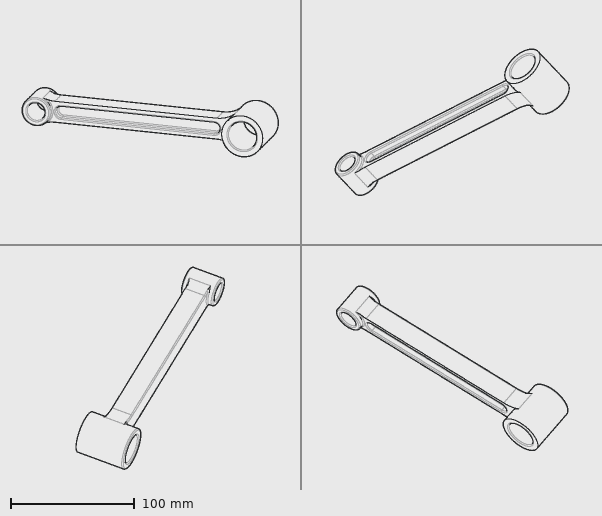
import cadquery as cq
import math

CENTRE_DISTANCE = 178.0

SMALL_DIAMETER = 24.0
SMALL_BORE = 15.0
SMALL_LENGTH = 28.0

BIG_DIAMETER = 35.0
BIG_BORE = 24.0
BIG_LENGTH = 42.0

BAR_HEIGHT = 18.0
BAR_THICKNESS = 18.0
NECK_RADIUS = 25.0

POCKET_WIDTH = 10.0
POCKET_DEPTH = 6.0
POCKET_TO_SMALL_CENTRE = 15.0
POCKET_TO_BIG_CENTRE = 23.0

EDGE_FILLET = 1.0
BORE_FILLET = 1.0

SMALL_RADIUS = SMALL_DIAMETER / 2
BIG_RADIUS = BIG_DIAMETER / 2
FRONT_Y = -BAR_THICKNESS / 2
BACK_Y = BAR_THICKNESS / 2
ARC_MIDDLE = 1 - math.sqrt(0.5)
SELECT_MARGIN = 0.01


def front_plane(y):
    """Workplane at the given Y, with local x = X, local y = Z and normal -Y."""
    return cq.Workplane("XZ", origin=(0, y, 0))


def edges_at_y(y, x_min, x_max):
    """Selector for edges that lie in the plane Y = y, between two X limits."""
    return cq.selectors.BoxSelector(
        (x_min - SELECT_MARGIN, y - SELECT_MARGIN, -BIG_DIAMETER),
        (x_max + SELECT_MARGIN, y + SELECT_MARGIN, BIG_DIAMETER),
        boundingbox=True,
    )


def eye(centre_x, diameter, length, rounded_ends):
    """Solid cylinder along Y, centred on Y = 0, with the selected end rims rounded."""
    cylinder = front_plane(length / 2).center(centre_x, 0).circle(diameter / 2).extrude(length)
    return cylinder.faces(rounded_ends).edges().fillet(EDGE_FILLET)


def bore_cutter(centre_x, diameter, length):
    """Through bore along Y that widens in a rounded lip at each mouth."""
    radius = diameter / 2
    lip_radius = radius + BORE_FILLET
    end_y = length / 2
    straight_y = end_y - BORE_FILLET
    middle_radius = radius + BORE_FILLET * ARC_MIDDLE
    middle_y = end_y - BORE_FILLET * ARC_MIDDLE
    return (
        cq.Workplane("XY", origin=(centre_x, 0, 0))
        .moveTo(0, -end_y)
        .lineTo(lip_radius, -end_y)
        .threePointArc((middle_radius, -middle_y), (radius, -straight_y))
        .lineTo(radius, straight_y)
        .threePointArc((middle_radius, middle_y), (lip_radius, end_y))
        .lineTo(0, end_y)
        .close()
        .revolve(360, (0, 0, 0), (0, 1, 0))
    )


def neck_points(eye_radius):
    """Neck arc between an eye and the bar's upper edge, tangent to both.

    Offsets are measured from the eye centre towards the bar, in the order
    eye end, middle, bar end.
    """
    half_height = BAR_HEIGHT / 2
    arc_z = half_height + NECK_RADIUS
    arc_x = math.sqrt((eye_radius + NECK_RADIUS) ** 2 - arc_z ** 2)
    contact = eye_radius / (eye_radius + NECK_RADIUS)
    eye_end = (arc_x * contact, arc_z * contact)
    bar_end = (arc_x, half_height)
    middle_angle = (math.atan2(-arc_z, -arc_x) - math.pi / 2) / 2
    middle = (
        arc_x + NECK_RADIUS * math.cos(middle_angle),
        arc_z + NECK_RADIUS * math.sin(middle_angle),
    )
    return eye_end, middle, bar_end


def below(point):
    """Mirror image of an outline point in the bar's mid-plane Z = 0."""
    return (point[0], -point[1])


def bar():
    """Bar whose flared necks run tangent into the eyes; its ends close at the eye centres."""
    small_eye_end, small_middle, small_bar_end = neck_points(SMALL_RADIUS)
    big_eye_end, big_middle, big_bar_end = [
        (CENTRE_DISTANCE - x, z) for x, z in neck_points(BIG_RADIUS)
    ]
    return (
        front_plane(BACK_Y)
        .moveTo(0, 0)
        .lineTo(*small_eye_end)
        .threePointArc(small_middle, small_bar_end)
        .lineTo(*big_bar_end)
        .threePointArc(big_middle, big_eye_end)
        .lineTo(CENTRE_DISTANCE, 0)
        .lineTo(*below(big_eye_end))
        .threePointArc(below(big_middle), below(big_bar_end))
        .lineTo(*below(small_bar_end))
        .threePointArc(below(small_middle), below(small_eye_end))
        .close()
        .extrude(BAR_THICKNESS)
    )


def front_corner_fillet():
    """Concave fillet in the corner between the small eye and the bar's front face.

    A ring around the eye, kept only where it lies within the bar's outline.
    It reaches into the eye and the bar so that it joins them firmly.
    """
    inner_radius = SMALL_RADIUS - EDGE_FILLET
    outer_radius = SMALL_RADIUS + EDGE_FILLET
    inside_y = FRONT_Y + EDGE_FILLET
    tip_y = FRONT_Y - EDGE_FILLET
    arc_middle = (SMALL_RADIUS + EDGE_FILLET * ARC_MIDDLE, FRONT_Y - EDGE_FILLET * ARC_MIDDLE)
    ring = (
        cq.Workplane("XY")
        .moveTo(inner_radius, inside_y)
        .lineTo(outer_radius, inside_y)
        .lineTo(outer_radius, FRONT_Y)
        .threePointArc(arc_middle, (SMALL_RADIUS, tip_y))
        .lineTo(inner_radius, tip_y)
        .close()
        .revolve(360, (0, 0, 0), (0, 1, 0))
    )
    return ring.intersect(bar().translate((0, -EDGE_FILLET, 0)))


def cut_pocket(body):
    """Cut the round-ended pocket into the front face and round its floor and rim."""
    start_x = POCKET_TO_SMALL_CENTRE
    end_x = CENTRE_DISTANCE - POCKET_TO_BIG_CENTRE
    slot = (
        front_plane(FRONT_Y)
        .center((start_x + end_x) / 2, 0)
        .slot2D(end_x - start_x, POCKET_WIDTH)
        .extrude(-POCKET_DEPTH)
        .faces(">Y")
        .edges()
        .fillet(EDGE_FILLET)
    )
    half_width = POCKET_WIDTH / 2 + SELECT_MARGIN
    rim = cq.selectors.BoxSelector(
        (start_x - SELECT_MARGIN, FRONT_Y - SELECT_MARGIN, -half_width),
        (end_x + SELECT_MARGIN, FRONT_Y + SELECT_MARGIN, half_width),
        boundingbox=True,
    )
    return body.cut(slot).edges(rim).fillet(EDGE_FILLET)


small_eye = eye(0, SMALL_DIAMETER, SMALL_LENGTH, "<Y or >Y")
big_eye = eye(CENTRE_DISTANCE, BIG_DIAMETER, BIG_LENGTH, ">Y")
rod = bar().union(small_eye).union(big_eye)

rod = rod.edges(edges_at_y(BACK_Y, 0, CENTRE_DISTANCE)).fillet(EDGE_FILLET)
rod = cut_pocket(rod)
rod = rod.union(front_corner_fillet())

rod = rod.cut(bore_cutter(0, SMALL_BORE, SMALL_LENGTH))
rod = rod.cut(bore_cutter(CENTRE_DISTANCE, BIG_BORE, BIG_LENGTH))

result = cq.Workplane(rod.solids().val())